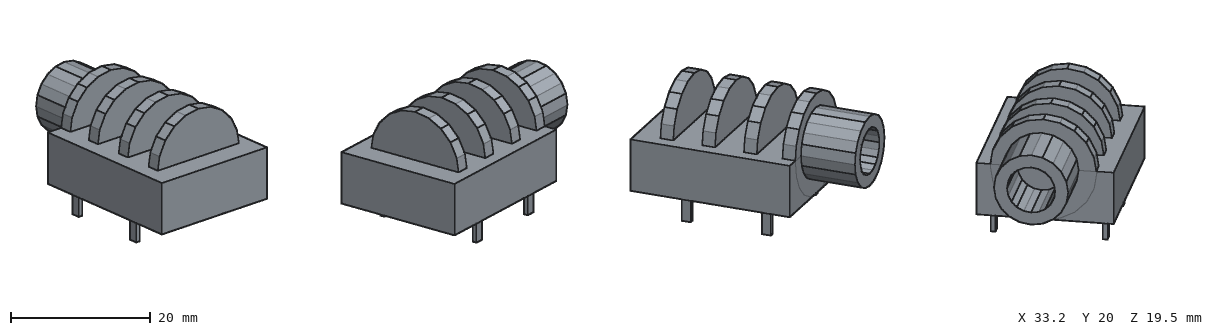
import cadquery as cq

ROUND_SIDES = 20

BODY_LENGTH = 24.8
BODY_WIDTH = 20.0
BODY_HEIGHT = 8.0

BARREL_LENGTH = 8.4
BARREL_RADIUS = 5.4
BORE_RADIUS = 3.5
BARREL_Y = 0.5

FIN_RADIUS = 7.75
FIN_THICKNESS = 2.0
FIN_STARTS_X = (0.0, 6.0, 12.5, 19.0)
FIN_Y = 0.25
FIN_Z = FIN_RADIUS - BODY_HEIGHT

PIN_LENGTH = 4.0
PIN_SIZE_X = 1.4
PIN_SIZE_Y = 0.7
PIN_CENTERS_X = (4.25, 16.75)
PIN_CENTERS_Y = (-8.1, 8.2)


def make_body():
    """Rectangular block hanging below Z = 0."""
    return cq.Workplane("XY").box(
        BODY_LENGTH, BODY_WIDTH, BODY_HEIGHT, centered=(False, True, False)
    ).translate((0, 0, -BODY_HEIGHT))


def make_barrel():
    """Tube along X; its bore ends at the body's front face."""
    return (
        cq.Workplane("YZ", origin=(-BARREL_LENGTH, BARREL_Y, 0))
        .polygon(ROUND_SIDES, 2 * BARREL_RADIUS)
        .polygon(ROUND_SIDES, 2 * BORE_RADIUS)
        .extrude(BARREL_LENGTH)
    )


def make_fin(start_x):
    """Full disc along X; its lower half is buried in the body."""
    return (
        cq.Workplane("YZ", origin=(start_x, FIN_Y, FIN_Z))
        .polygon(ROUND_SIDES, 2 * FIN_RADIUS)
        .extrude(FIN_THICKNESS)
    )


def make_pins():
    """Rectangular pins below the body's bottom face."""
    pin_centers = [(x, y) for x in PIN_CENTERS_X for y in PIN_CENTERS_Y]
    return (
        cq.Workplane("XY", origin=(0, 0, -BODY_HEIGHT))
        .pushPoints(pin_centers)
        .rect(PIN_SIZE_X, PIN_SIZE_Y)
        .extrude(-PIN_LENGTH)
    )


result = make_body()
for fin_start_x in FIN_STARTS_X:
    result = result.union(make_fin(fin_start_x), clean=False)
result = result.union(make_barrel(), clean=False)
result = result.union(make_pins(), clean=False)